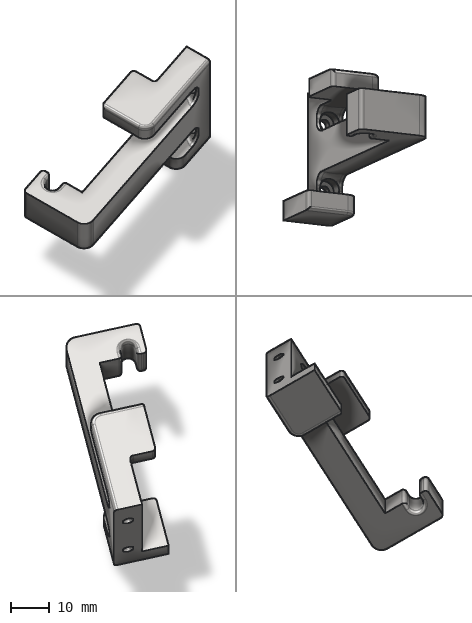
import cadquery as cq

width = 20.0
length = 55.1
height = 34.4

plate_thickness_y = 5.0
limb_thickness_x = 7.45
prong_left = 5.5
lower_prong_length = 14.0
upper_prong_length = 28.0
lower_prong_top = 5.2
arm_bottom = 12.1
arm_top = 22.9
upper_prong_bottom = 29.7

hook_depth = 8.55
hook_groove_x = 4.6
hook_groove_radius = 2.0
hook_groove_center_y = 6.55

edge_radius = 1.0
corner_radius = 3.0

screw_diameter = 2.8
head_diameter = 5.5
head_depth = 3.0
screw_heights = (8.4, 26.0)

limb_left = width - limb_thickness_x
plate_front = length - plate_thickness_y
lower_prong_front = length - lower_prong_length
upper_prong_front = length - upper_prong_length
groove_left = hook_groove_x - hook_groove_radius
groove_right = hook_groove_x + hook_groove_radius
screw_x = width - limb_thickness_x / 2
pick = 0.05


def block(x0, x1, y0, y1, z0, z1):
    """Axis-aligned box between two corners."""
    return cq.Workplane("XY").box(x1 - x0, y1 - y0, z1 - z0, centered=False).translate((x0, y0, z0))


def fillet_upright(body, x, y, radius):
    """Round the vertical edges that pass through (x, y)."""
    size = body.val().BoundingBox()
    edges = cq.selectors.BoxSelector(
        (x - pick, y - pick, size.zmin - pick), (x + pick, y + pick, size.zmax + pick)
    )
    return body.edges("|Z").edges(edges).fillet(radius)


def prong(front, outer_face):
    """Prong with a round outer corner; its front and right edges are rounded on the outer face."""
    z0, z1 = (0, lower_prong_top) if outer_face == "<Z" else (upper_prong_bottom, height)
    blank = block(prong_left, width, front, length, z0, z1)
    soft_edged = fillet_upright(blank, width, front, corner_radius)
    soft_edged = soft_edged.faces(outer_face).edges("<Y or >X").fillet(edge_radius)
    return soft_edged.intersect(fillet_upright(blank, prong_left, front, edge_radius))


def upper_prong():
    """Long prong, cut back to the limb thickness over the length of the lower prong."""
    trim = block(prong_left, width, upper_prong_front, length, upper_prong_bottom, height)
    trim = trim.cut(block(prong_left, limb_left, lower_prong_front, length, upper_prong_bottom, height))
    for x in (limb_left, prong_left):
        trim = fillet_upright(trim, x, lower_prong_front, edge_radius)
    return prong(upper_prong_front, ">Z").intersect(trim)


def hook_groove(mouth_y):
    """Round-bottomed groove across the hook, open at mouth_y."""
    bottom = (
        cq.Workplane("XY", origin=(hook_groove_x, hook_groove_center_y, arm_bottom))
        .circle(hook_groove_radius)
        .extrude(arm_top - arm_bottom)
    )
    return bottom.union(
        block(groove_left, groove_right, hook_groove_center_y, mouth_y, arm_bottom, arm_top)
    )


def hooked_arm():
    """Middle arm ending in a hook whose groove opens towards the plate and has a rounded rim."""
    outline = block(limb_left, width, 0, length, arm_bottom, arm_top)
    outline = outline.union(block(0, width, 0, hook_depth, arm_bottom, arm_top))
    outline = outline.cut(hook_groove(hook_depth))
    for x in (0, groove_left, groove_right):
        outline = fillet_upright(outline, x, hook_depth, edge_radius)
    outline = fillet_upright(outline, 0, 0, edge_radius)
    outline = fillet_upright(outline, width, 0, corner_radius)

    grooved = block(0, width, 0, length, arm_bottom, arm_top).cut(hook_groove(length))
    rim = cq.selectors.BoxSelector(
        (groove_left - pick, pick, arm_bottom - pick),
        (groove_right + pick, length - pick, arm_top + pick),
    )
    grooved = grooved.faces("<Z or >Z").edges(rim).fillet(edge_radius)
    return outline.intersect(grooved)


def plate():
    """Plain plate behind the three limbs, spanning the gaps between them."""
    return block(limb_left, width, plate_front, length, lower_prong_top, upper_prong_bottom)


def drill(body):
    """Counterbored screw holes through the plate, sunk from its front face."""
    head_floor = plate_front + head_depth
    for z in screw_heights:
        hole = cq.Workplane("XZ", origin=(screw_x, length, z))
        hole = hole.circle(screw_diameter / 2).extrude(plate_thickness_y)
        head = cq.Workplane("XZ", origin=(screw_x, head_floor, z))
        head = head.circle(head_diameter / 2).extrude(head_depth)
        body = body.cut(hole).cut(head)
    return body


def round_gaps(body):
    """Round the inner corners of both gaps; the rounding blends into the counterbore rims."""
    for z in (lower_prong_top, arm_bottom, arm_top, upper_prong_bottom):
        corner = cq.selectors.BoxSelector(
            (limb_left - pick, plate_front - pick, z - pick),
            (width + pick, plate_front + pick, z + pick),
        )
        body = body.edges("|X").edges(corner).fillet(corner_radius)
    return body


lower_prong = prong(lower_prong_front, "<Z")
bracket = plate().union(lower_prong).union(upper_prong()).union(hooked_arm())
result = round_gaps(drill(bracket))